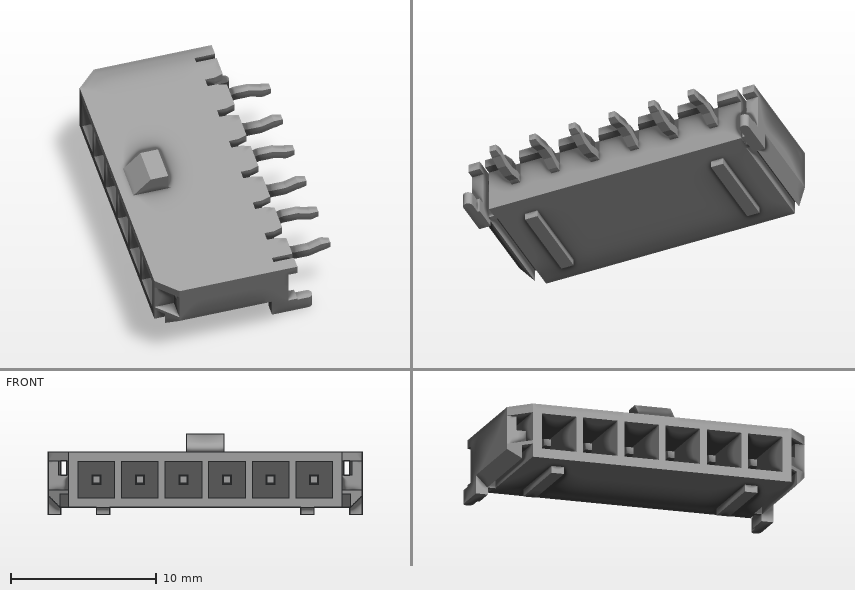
import cadquery as cq
import math


PIN_COUNT = 6
PITCH = 3.0
PIN_SIZE = 0.64

LENGTH = 21.65
HEIGHT = 3.83
WALL_BACK = 9.2
LIP_BACK = 9.85
LIP_THICKNESS = 0.63
HALF_LENGTH = LENGTH / 2
AXIS_Z = HEIGHT / 2

CAVITY_SIZE = 2.52
CAVITY_DEPTH = 7.5

SLOT_FRONT = 8.53
LIP_NOTCH_WIDTH = 1.06

CORNER_CUT = 1.4
POCKET_BOTTOM = 1.19
POCKET_TOP = 3.2
WINDOW_WIDTH = 0.7
WINDOW_BOTTOM = 2.23
CHANNEL_HEIGHT = 0.94
EDGE_CUT = 0.82

STANDOFF = 0.5
FOOT_WIDTH = 0.87
FOOT_FRONT = 8.03
FOOT_TOP = 0.6
POST_WIDTH = 0.7
POST_TOP = 0.49
POST_BACK = 10.99
END_SLOT_WIDTH = 0.4
END_SLOT_FRONT = 8.38
RAIL_WIDTH = 0.92
RAIL_CENTER_X = 7.04
RAIL_FRONT = 1.67
RAIL_BACK = 7.69

LATCH_WIDTH = 2.6
LATCH_HEIGHT = 1.24
LATCH_FRONT = 0.8
LATCH_CREST = LATCH_FRONT + LATCH_HEIGHT
LATCH_BACK = 3.3
LATCH_FILLET = 0.22

PIN_FRONT = 2.5
PIN_BACK = 13.08
TIP_SIZE = 0.48
FRONT_TIP_LENGTH = 0.5
BACK_TIP_LENGTH = 0.52
BEND_START = 9.66
BEND_END = 12.43
BEND_RUN = 0.86
BEND_OFFSET = 0.275


def block(x0, x1, y0, y1, z0, z1):
    """Box between two opposite corners."""
    return cq.Workplane("XY").box(x1 - x0, y1 - y0, z1 - z0, centered=False).translate((x0, y0, z0))


def both_ends(left):
    """A left-end feature together with its mirror image at the right end."""
    return left.union(left.mirror("YZ"))


def pin_x(index):
    return (index - (PIN_COUNT - 1) / 2) * PITCH


def housing_shell():
    """Main wall block with the top lip and chamfered front corners and lower edges."""
    wall = block(-HALF_LENGTH, HALF_LENGTH, 0, WALL_BACK, 0, HEIGHT)
    lip = block(-HALF_LENGTH, HALF_LENGTH, 0, LIP_BACK, HEIGHT - LIP_THICKNESS, HEIGHT)
    corner = (
        cq.Workplane("XY")
        .polyline([(-HALF_LENGTH, 0), (-HALF_LENGTH + CORNER_CUT, 0), (-HALF_LENGTH, CORNER_CUT)])
        .close()
        .extrude(HEIGHT)
    )
    lower_edge = (
        cq.Workplane("XZ")
        .polyline([(-HALF_LENGTH, 0), (-HALF_LENGTH + EDGE_CUT, 0), (-HALF_LENGTH, EDGE_CUT)])
        .close()
        .extrude(-FOOT_FRONT)
    )
    return wall.union(lip).cut(both_ends(corner)).cut(both_ends(lower_edge))


def foot():
    """Left board foot with its round-ended post reaching out behind the housing."""
    base = block(-HALF_LENGTH, -HALF_LENGTH + FOOT_WIDTH, FOOT_FRONT, LIP_BACK, -STANDOFF, FOOT_TOP)
    radius = POST_WIDTH / 2
    round_center = POST_BACK - radius
    post = (
        cq.Workplane("XY")
        .workplane(offset=-STANDOFF)
        .moveTo(-HALF_LENGTH, FOOT_FRONT)
        .lineTo(-HALF_LENGTH, round_center)
        .threePointArc((-HALF_LENGTH + radius, POST_BACK), (-HALF_LENGTH + POST_WIDTH, round_center))
        .lineTo(-HALF_LENGTH + POST_WIDTH, FOOT_FRONT)
        .close()
        .extrude(STANDOFF + POST_TOP)
    )
    return base.union(post)


def rail():
    """Left standoff rail under the housing."""
    inner = -RAIL_CENTER_X + RAIL_WIDTH / 2
    return block(inner - RAIL_WIDTH, inner, RAIL_FRONT, RAIL_BACK, -STANDOFF, 0)


def latch():
    """Ramped latch on the roof, filleted into it at the back."""
    arc_offset = LATCH_FILLET * (1 - math.sqrt(0.5))
    return (
        cq.Workplane("YZ")
        .moveTo(LATCH_FRONT, HEIGHT)
        .lineTo(LATCH_CREST, HEIGHT + LATCH_HEIGHT)
        .lineTo(LATCH_BACK, HEIGHT + LATCH_HEIGHT)
        .lineTo(LATCH_BACK, HEIGHT + LATCH_FILLET)
        .threePointArc(
            (LATCH_BACK + arc_offset, HEIGHT + arc_offset),
            (LATCH_BACK + LATCH_FILLET, HEIGHT),
        )
        .close()
        .extrude(LATCH_WIDTH / 2, both=True)
    )


def end_cuts():
    """Left corner pocket, the window behind it, the channel below it and the slot beside the foot."""
    outer = -HALF_LENGTH
    inner = outer + CORNER_CUT
    slot_start = outer + FOOT_WIDTH
    pocket = block(outer, inner, 0, CORNER_CUT, POCKET_BOTTOM, POCKET_TOP)
    window = block(inner - WINDOW_WIDTH, inner, 0, END_SLOT_FRONT, WINDOW_BOTTOM, POCKET_TOP)
    channel = block(outer + EDGE_CUT, inner, 0, FOOT_FRONT, 0, CHANNEL_HEIGHT)
    slot = block(slot_start, slot_start + END_SLOT_WIDTH, END_SLOT_FRONT, LIP_BACK, 0, HEIGHT)
    return pocket.union(window).union(channel).union(slot)


def pin_cuts(x):
    """Cavity, pin hole and top-open pin slot of one position, with the flared notch in the lip."""
    half_cavity = CAVITY_SIZE / 2
    half_pin = PIN_SIZE / 2
    half_notch = LIP_NOTCH_WIDTH / 2
    cavity = block(
        x - half_cavity, x + half_cavity, 0, CAVITY_DEPTH, AXIS_Z - half_cavity, AXIS_Z + half_cavity
    )
    hole = block(x - half_pin, x + half_pin, 0, WALL_BACK, AXIS_Z - half_pin, AXIS_Z + half_pin)
    slot = block(x - half_pin, x + half_pin, SLOT_FRONT, LIP_BACK, AXIS_Z - half_pin, HEIGHT)
    flare = (
        cq.Workplane("XY")
        .workplane(offset=HEIGHT - LIP_THICKNESS)
        .polyline([
            (x - half_pin, WALL_BACK),
            (x + half_pin, WALL_BACK),
            (x + half_notch, LIP_BACK),
            (x - half_notch, LIP_BACK),
        ])
        .close()
        .extrude(LIP_THICKNESS)
    )
    return cavity.union(hole).union(slot).union(flare)


def make_housing():
    body = housing_shell().union(both_ends(foot())).union(both_ends(rail())).union(latch())
    body = body.cut(both_ends(end_cuts()))
    for index in range(PIN_COUNT):
        body = body.cut(pin_cuts(pin_x(index)))
    return body


def pin_tip(plane, x, y, length):
    """Square tip tapering along the plane's normal."""
    taper = math.degrees(math.atan((PIN_SIZE - TIP_SIZE) / 2 / length))
    return (
        cq.Workplane(plane, origin=(x, y, AXIS_Z))
        .rect(PIN_SIZE, PIN_SIZE)
        .extrude(length, taper=taper)
    )


def make_pin(x, offset):
    """Square pin with tapered tips and a tail bent sideways in Z by the given offset."""
    front = PIN_FRONT + FRONT_TIP_LENGTH
    back = PIN_BACK - BACK_TIP_LENGTH
    bend_line = [
        (front, AXIS_Z),
        (BEND_START, AXIS_Z),
        (BEND_START + BEND_RUN, AXIS_Z + offset),
        (BEND_END - BEND_RUN, AXIS_Z + offset),
        (BEND_END, AXIS_Z),
        (back, AXIS_Z),
    ]
    upper = [(y, z + PIN_SIZE / 2) for y, z in bend_line]
    lower = [(y, z - PIN_SIZE / 2) for y, z in reversed(bend_line)]
    shaft = (
        cq.Workplane("YZ", origin=(x, 0, 0))
        .polyline(upper + lower)
        .close()
        .extrude(PIN_SIZE / 2, both=True)
    )
    front_tip = pin_tip("XZ", x, front, FRONT_TIP_LENGTH)
    back_tip = pin_tip("ZX", x, back, BACK_TIP_LENGTH)
    return shaft.union(front_tip).union(back_tip)


housing = make_housing()
pins = [make_pin(pin_x(index), BEND_OFFSET * (-1) ** index) for index in range(PIN_COUNT)]

result = cq.Compound.makeCompound([housing.val(), *[pin.val() for pin in pins]])